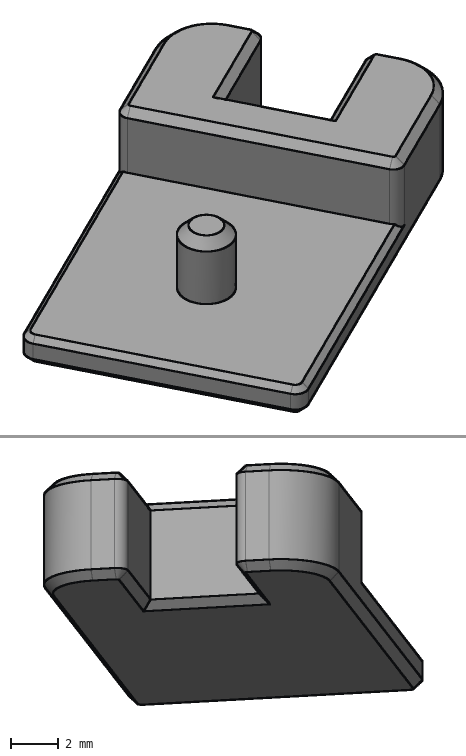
import cadquery as cq

length = 20.5
width = 12.7
height = 4.7

plate_thickness = 1.48
block_length = 7.7
rim_chamfer = 0.39
plate_chamfer = 0.29

end_radius = 2.5
step_radius = 0.5
plate_radius = 0.6
mouth_radius = 0.5

slot_width = 4.7
slot_depth = 5.2

pin_diameter = 2.5
pin_chamfer = 0.5
pin_from_block_end = 14.6

back_y = length / 2
front_y = -length / 2
step_y = back_y - block_length
slot_floor_y = back_y - slot_depth


def slotted_body(start_y, bottom_z, top_z, front_radius):
    """Slotted slab from start_y to the +Y end, with rounded vertical corners."""
    half_width = width / 2
    half_slot = slot_width / 2
    outline = [
        (-half_width, start_y),
        (half_width, start_y),
        (half_width, back_y),
        (half_slot, back_y),
        (half_slot, slot_floor_y),
        (-half_slot, slot_floor_y),
        (-half_slot, back_y),
        (-half_width, back_y),
    ]
    body = cq.Workplane("XY").workplane(offset=bottom_z).polyline(outline).close().extrude(top_z - bottom_z)
    mid_z = (bottom_z + top_z) / 2
    corners = [
        (half_width, start_y, front_radius),
        (half_width, back_y, end_radius),
        (half_slot, back_y, mouth_radius),
    ]
    for x, y, radius in corners:
        for side in (-1, 1):
            corner = cq.selectors.NearestToPointSelector((side * x, y, mid_z))
            body = body.edges("|Z").edges(corner).fillet(radius)
    return body


def make_plate():
    plate = slotted_body(front_y, 0, plate_thickness, plate_radius)
    plate = plate.faces("<Z").chamfer(rim_chamfer)
    return plate.faces(">Z").chamfer(plate_chamfer)


def make_block():
    block = slotted_body(step_y, plate_thickness - plate_chamfer, height, step_radius)
    return block.faces(">Z").chamfer(rim_chamfer)


def make_pin():
    pin_base_z = plate_thickness / 2
    pin = (
        cq.Workplane("XY")
        .workplane(offset=pin_base_z)
        .center(0, back_y - pin_from_block_end)
        .circle(pin_diameter / 2)
        .extrude(height - pin_base_z)
    )
    return pin.faces(">Z").chamfer(pin_chamfer)


result = make_plate().union(make_block()).union(make_pin())